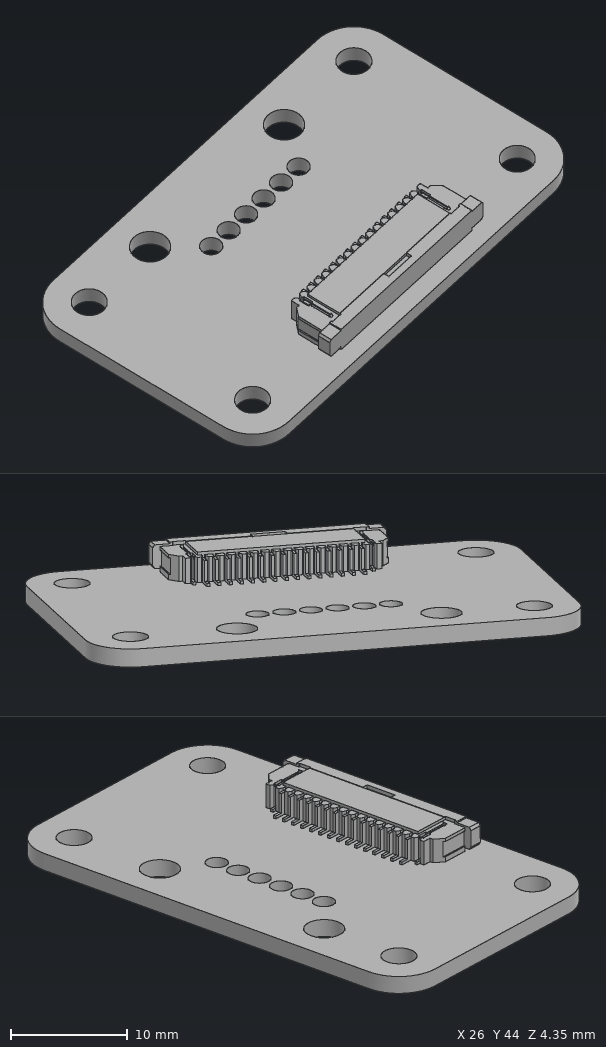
import cadquery as cq

board_width = 26.0
board_length = 44
board_thickness = 1.65
corner_radius = 4.0
mount_hole_diameter = 3.1
large_hole_diameter = 3.5
large_hole_spacing = 18.2
large_hole_centre_y = -0.6
pin_hole_diameter = 2.0
pin_hole_count = 6
pin_hole_pitch = 2.38
pin_hole_row_x = -4.95
pin_hole_centre_y = -0.45

connector_y = 0.1
contact_count = 15
contact_row_length = 14.0
contact_pitch = contact_row_length / (contact_count - 1)
contact_width = 0.25
contact_front_x = 4.75
contact_post_x = 5.5
contact_foot_height = 0.25
contact_height = 2.1

standoff = 0.15

comb_front_x = 5.7
comb_length = 17.5
notch_depth = 0.35
notch_mouth_width = 0.65
slot_end_x = 6.45

housing_front_x = 6.55
housing_length = 19.6
housing_height = 2.38
shoulder_run = 0.8
shoulder_width = 0.7

panel_bottom = 0.6
panel_top = 2.05
panel_depth = 0.15

cover_front_x = slot_end_x
cover_length = 14.95
cover_height = 2.65

anchor_front_x = 5.6
anchor_end_x = 9.6
anchor_height = 2.25
anchor_tip_length = 0.2
anchor_tip_height = 2.55
anchor_slot_start_x = 6.25
anchor_slot_end_x = 7.2
anchor_slot_width = 0.55

bar_front_x = 10.05
bar_back_x = 11.3
bar_length = 20.85
bar_raised_length = 17.78
bar_height = 2.7
bar_bottom = 0.45
bar_end_height = 2.55
bar_chamfer_height = 0.25
bar_chamfer_width = 0.18
latch_recess_width = 3.1
latch_recess_end_x = 10.6
latch_recess_depth = 0.35
nook_depth = 0.15
nook_length = 17.25


def block(x_start, x_end, length, z_start, z_end, y=0):
    """A box centred on y, between the given X and Z limits."""
    return cq.Workplane("XY").box(
        x_end - x_start, length, z_end - z_start, centered=(False, True, False)
    ).translate((x_start, y, z_start))


def make_board():
    """A rounded plate with corner mounting holes, two larger holes and a row of pin holes."""
    plate = (
        cq.Workplane("XY")
        .box(board_width, board_length, board_thickness, centered=(True, True, False))
        .edges("|Z").fillet(corner_radius)
    )
    mount_x = board_width / 2 - corner_radius
    mount_y = board_length / 2 - corner_radius
    top = plate.faces(">Z").workplane(origin=(0, 0, board_thickness))
    plate = top.rect(2 * mount_x, 2 * mount_y, forConstruction=True).vertices().hole(mount_hole_diameter)
    large_holes = [(-mount_x, large_hole_centre_y + side * large_hole_spacing / 2) for side in (-1, 1)]
    top = plate.faces(">Z").workplane(origin=(0, 0, board_thickness))
    plate = top.pushPoints(large_holes).hole(large_hole_diameter)
    top = plate.faces(">Z").workplane(origin=(pin_hole_row_x, pin_hole_centre_y, board_thickness))
    return top.rarray(0.45, pin_hole_pitch, 1, pin_hole_count).hole(pin_hole_diameter)


def make_housing():
    """The plastic body with its recessed ends, comb wall and raised cover."""
    half = housing_length / 2
    outline = [
        (bar_front_x, -half),
        (housing_front_x + shoulder_run, -half),
        (housing_front_x, -half + shoulder_width),
        (housing_front_x, half - shoulder_width),
        (housing_front_x + shoulder_run, half),
        (bar_front_x, half),
    ]
    body = cq.Workplane("XY").workplane(offset=standoff).polyline(outline).close()
    body = body.extrude(housing_height - standoff)
    for side in (-1, 1):
        panel_y = side * (half - panel_depth / 2)
        body = body.cut(block(housing_front_x, bar_front_x, panel_depth, panel_bottom, panel_top, panel_y))
    comb = block(comb_front_x, bar_front_x, comb_length, standoff, housing_height)
    cover = block(cover_front_x, bar_front_x, cover_length, standoff, cover_height)
    return body.union(comb).union(cover)


def make_bar():
    """A bar with bevelled ends, a taller middle, a latch recess and a nook beside each cover end."""
    half = bar_length / 2
    end_profile = [
        (-half, bar_bottom + bar_chamfer_height),
        (-half + bar_chamfer_width, bar_bottom),
        (half - bar_chamfer_width, bar_bottom),
        (half, bar_bottom + bar_chamfer_height),
        (half, bar_end_height - bar_chamfer_height),
        (half - bar_chamfer_width, bar_end_height),
        (-half + bar_chamfer_width, bar_end_height),
        (-half, bar_end_height - bar_chamfer_height),
    ]
    ends = cq.Workplane("YZ").workplane(offset=bar_front_x).polyline(end_profile).close()
    ends = ends.extrude(bar_back_x - bar_front_x)
    middle = block(bar_front_x, bar_back_x, bar_raised_length, standoff, bar_height)
    recess = block(
        bar_front_x, latch_recess_end_x, latch_recess_width,
        bar_height - latch_recess_depth, bar_height,
    )
    nooks = block(bar_front_x, bar_front_x + nook_depth, nook_length, housing_height, bar_height)
    nooks = nooks.cut(block(bar_front_x, bar_back_x, cover_length, 0, bar_height))
    return ends.union(middle).cut(recess).cut(nooks)


def make_notch(y):
    """The cutter for one contact: a flared mouth leading into a narrow slot."""
    half_mouth = notch_mouth_width / 2
    half_width = contact_width / 2
    notch_end_x = comb_front_x + notch_depth
    return (
        cq.Workplane("XY")
        .polyline([
            (comb_front_x, y - half_mouth),
            (notch_end_x, y - half_width),
            (slot_end_x, y - half_width),
            (slot_end_x, y + half_width),
            (notch_end_x, y + half_width),
            (comb_front_x, y + half_mouth),
        ])
        .close().extrude(housing_height)
    )


def make_contact(y):
    """An L-shaped contact: a foot on the board and an upright post in its slot."""
    foot = block(contact_front_x, slot_end_x, contact_width, 0, contact_foot_height, y)
    post = block(contact_post_x, slot_end_x, contact_width, 0, contact_height, y)
    return foot.union(post)


def make_anchor(y):
    """A long upright blade with a foot in front and a raised tip behind."""
    foot = block(anchor_front_x, slot_end_x, contact_width, 0, contact_foot_height, y)
    profile = [
        (slot_end_x, 0),
        (anchor_end_x, 0),
        (anchor_end_x, housing_height),
        (anchor_end_x - anchor_tip_length, anchor_tip_height),
        (anchor_end_x - anchor_tip_length, anchor_height),
        (slot_end_x, anchor_height),
    ]
    blade = cq.Workplane("XZ").polyline(profile).close().extrude(contact_width / 2, both=True)
    return foot.union(blade.translate((0, y, 0)))


def make_anchor_slot(y):
    """The channel above an anchor, with a wider clearance near the front."""
    channel = block(comb_front_x, anchor_end_x, contact_width, contact_height, housing_height, y)
    clearance = block(
        anchor_slot_start_x, anchor_slot_end_x, anchor_slot_width, contact_height, housing_height, y
    )
    return channel.union(clearance)


def make_connector():
    """The connector on the board: housing, bar, contacts and anchors as one solid."""
    body = make_housing().union(make_bar())
    anchor_y = (contact_count + 1) / 2 * contact_pitch
    contact_ys = [i * contact_pitch - contact_row_length / 2 for i in range(contact_count)]
    for y in [-anchor_y, *contact_ys, anchor_y]:
        body = body.cut(make_notch(y))
    for y in contact_ys:
        body = body.union(make_contact(y))
    for y in (-anchor_y, anchor_y):
        body = body.cut(make_anchor_slot(y)).union(make_anchor(y))
    return body.translate((0, connector_y, board_thickness))


board = make_board()
connector = make_connector()
result = cq.Compound.makeCompound([board.val(), connector.val()])